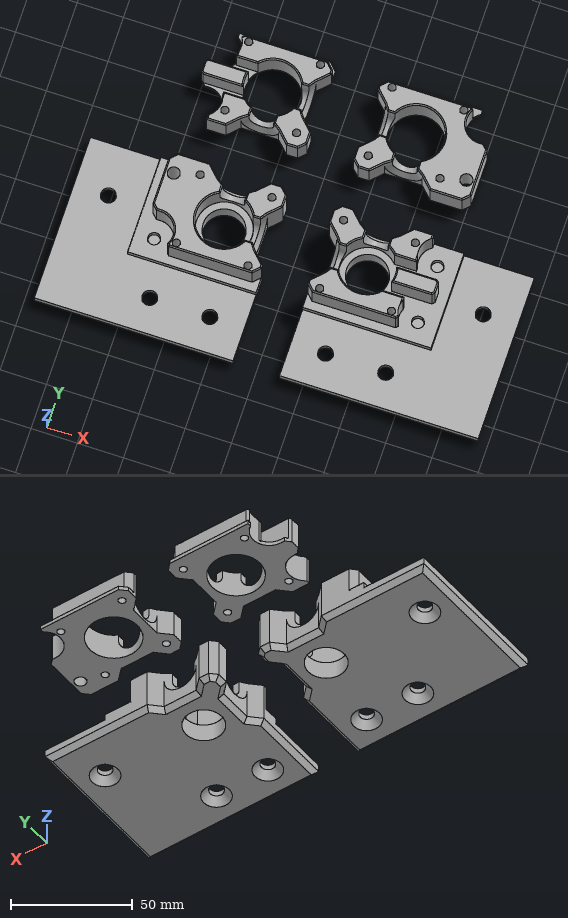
import cadquery as cq

MOTOR_EDGE = 21.0
BACK_EDGE = 21.5
BLOCK_FRONT = 17.8
STEP_FRONT = 21.5
BLOCK_OUTER = 21.6
CORNER_CHAMFER = 3.0
SCREW_PITCH = 31.0
SCREW_HOLE = 3.3
COVER_BORE = 24.0
BASE_BORE = 18.0

NOTCH_DEPTH = 5.0
NOTCH_FLOOR_HALF = 8.1
SLOT_RADIUS = 5.3
FLARE_DEPTH = 2.0

ARM_ROOT = MOTOR_EDGE / 2
ARM_REACH = 30.0
FIXING_U = 26.0
FIXING_W = 12.7
FIXING_HOLE = 5.3
RELIEF_RADIUS = 8.2
ARM_CHAMFER = 2.2
KEY_HALF = 3.4
CHANNEL_HALF = 8.0
KEY_BLOCK_OUTER = 18.5

COVER_HEIGHT = 14.0
FLANGE_HEIGHT = 2.0
COVER_SLOT_Z = 9.7
PLATE_HEIGHT = 6.0
STEP_TOP = 9.0
BASE_HEIGHT = 22.0
BASE_SLOT_Z = 16.6
TOP_CHAMFER = 0.6

PLATE_LENGTH = 86.0
PLATE_WIDTH = 73.0
STEP_LENGTH = 55.6
PLATE_CHAMFER = 2.3
PLATE_HOLE = 6.4
PLATE_HOLE_HEAD = 13.0
PLATE_OUTER_HOLE_U = 50.0
PLATE_FRONT_HOLES_W = 36.5
PLATE_FRONT_HOLES_U = (-6.0, 20.0)

PAIR_GAP = 20.0
ROW_GAP = 20.0

NOTCH_MOUTH_HALF = NOTCH_FLOOR_HALF + NOTCH_DEPTH
ARM_EDGE = FIXING_W - RELIEF_RADIUS
PLATE_HOLES = [(PLATE_OUTER_HOLE_U, 0)] + [(u, PLATE_FRONT_HOLES_W) for u in PLATE_FRONT_HOLES_U]
SCREWS = [(su * SCREW_PITCH / 2, sw * SCREW_PITCH / 2) for su in (-1, 1) for sw in (-1, 1)]


def prism(points, bottom, top):
    return cq.Workplane("XY").workplane(offset=bottom).polyline(points).close().extrude(top - bottom)


def cylinders(centers, diameter, bottom, top):
    plane = cq.Workplane("XY").workplane(offset=bottom)
    return plane.pushPoints(centers).circle(diameter / 2).extrude(top - bottom)


def box(u_min, u_max, w_min, w_max, bottom, top):
    corners = [(u_min, w_min), (u_max, w_min), (u_max, w_max), (u_min, w_max)]
    return prism(corners, bottom, top)


def notched_sides():
    """Inner and back sides, each with a 45 degree notch in the middle."""
    return [
        (-MOTOR_EDGE, NOTCH_MOUTH_HALF),
        (-MOTOR_EDGE + NOTCH_DEPTH, NOTCH_FLOOR_HALF),
        (-MOTOR_EDGE + NOTCH_DEPTH, -NOTCH_FLOOR_HALF),
        (-MOTOR_EDGE, -NOTCH_MOUTH_HALF),
        (-MOTOR_EDGE, -BACK_EDGE + CORNER_CHAMFER),
        (-MOTOR_EDGE + CORNER_CHAMFER, -BACK_EDGE),
        (-NOTCH_MOUTH_HALF, -BACK_EDGE),
        (-NOTCH_FLOOR_HALF, -BACK_EDGE + NOTCH_DEPTH),
        (NOTCH_FLOOR_HALF, -BACK_EDGE + NOTCH_DEPTH),
        (NOTCH_MOUTH_HALF, -BACK_EDGE),
    ]


def motor_outline():
    """Square motor block with chamfered corners and notched inner and back sides."""
    front_chamfer = BLOCK_FRONT - CORNER_CHAMFER
    return notched_sides() + [
        (BLOCK_OUTER, -BACK_EDGE),
        (BLOCK_OUTER, front_chamfer - (BLOCK_OUTER - MOTOR_EDGE)),
        (MOTOR_EDGE - CORNER_CHAMFER, BLOCK_FRONT),
        (-MOTOR_EDGE + CORNER_CHAMFER, BLOCK_FRONT),
        (-MOTOR_EDGE, front_chamfer),
    ]


def arm_outline(is_key):
    """Outer arm: symmetric for a key, running to the back edge for a lobe."""
    upper = [
        (ARM_ROOT, CHANNEL_HALF),
        (FIXING_U, CHANNEL_HALF),
        (FIXING_U, ARM_EDGE),
        (ARM_REACH - ARM_CHAMFER, ARM_EDGE),
        (ARM_REACH, ARM_EDGE - ARM_CHAMFER),
    ]
    if is_key:
        return upper + [(u, -w) for u, w in reversed(upper)]
    return upper + [
        (ARM_REACH, -BACK_EDGE + CORNER_CHAMFER),
        (ARM_REACH - CORNER_CHAMFER, -BACK_EDGE),
        (BLOCK_OUTER, -BACK_EDGE),
        (ARM_ROOT, -CHANNEL_HALF),
    ]


def relief_centers(is_key):
    centers = [(FIXING_U, FIXING_W)]
    if is_key:
        centers.append((FIXING_U, -FIXING_W))
    return centers


def slot_cutter(slot_z, top):
    """Round-bottomed opening along u, open to the top and flared where it meets the notch floor."""
    start = -MOTOR_EDGE + NOTCH_DEPTH
    throat = start + FLARE_DEPTH
    tube = cq.Workplane("YZ", origin=(start, 0, slot_z)).circle(SLOT_RADIUS).extrude(-start)
    flare_base = cq.Vector(start, 0, slot_z)
    flare = cq.Solid.makeCone(NOTCH_FLOOR_HALF, SLOT_RADIUS, FLARE_DEPTH, flare_base, cq.Vector(1, 0, 0))
    one_side = [(start, NOTCH_FLOOR_HALF), (throat, SLOT_RADIUS), (0, SLOT_RADIUS)]
    other_side = [(u, -w) for u, w in reversed(one_side)]
    mouth = prism(one_side + other_side, slot_z, top)
    return tube.union(cq.Workplane(flare)).union(mouth)


def side_openings(slot_z, top):
    inner = slot_cutter(slot_z, top)
    back = inner.rotate((0, 0, 0), (0, 0, 1), 90).translate((0, MOTOR_EDGE - BACK_EDGE, 0))
    return inner.union(back)


def key_channels(floor, top):
    """Spaces on both sides of the key, wider beyond the outer face of the motor block."""
    near = box(0, KEY_BLOCK_OUTER, KEY_HALF, CHANNEL_HALF, floor, top)
    far = box(KEY_BLOCK_OUTER, ARM_REACH, KEY_HALF, FIXING_W, floor, top)
    channel = near.union(far)
    return [channel, channel.mirror("XZ")]


def block(is_key, bottom, floor, top, slot_z):
    """Motor block with its arm; floor is the level the channel beside a key is cut down to."""
    body = prism(motor_outline(), bottom, top).union(prism(arm_outline(is_key), bottom, top))
    reliefs = cylinders(relief_centers(is_key), 2 * RELIEF_RADIUS, bottom, top)
    if is_key:
        for channel in key_channels(floor, top):
            body = body.cut(channel)
    else:
        body = body.cut(reliefs)
    body = body.cut(cylinders([(0, 0)], COVER_BORE, floor, top))
    body = body.cut(side_openings(slot_z, top))
    body = body.faces(">Z").edges().chamfer(TOP_CHAMFER)
    return body.cut(reliefs)


def flange(is_key):
    """Thin lip in front of the block, with a chamfered inner corner."""
    lip = prism([
        (-MOTOR_EDGE, NOTCH_MOUTH_HALF),
        (BLOCK_OUTER, NOTCH_MOUTH_HALF),
        (BLOCK_OUTER, STEP_FRONT),
        (-MOTOR_EDGE + CORNER_CHAMFER, STEP_FRONT),
        (-MOTOR_EDGE, STEP_FRONT - CORNER_CHAMFER)], 0, FLANGE_HEIGHT)
    return lip.cut(cylinders(relief_centers(is_key), 2 * RELIEF_RADIUS, 0, FLANGE_HEIGHT))


def cover(is_key):
    body = block(is_key, 0, FLANGE_HEIGHT, COVER_HEIGHT, COVER_SLOT_Z).union(flange(is_key))
    body = body.cut(cylinders([(0, 0)], COVER_BORE, 0, COVER_HEIGHT))
    body = body.cut(cylinders(SCREWS, SCREW_HOLE, 0, COVER_HEIGHT))
    if not is_key:
        body = body.cut(cylinders([(FIXING_U, -FIXING_W)], FIXING_HOLE, 0, COVER_HEIGHT))
    return body


def plate_outline(length, front):
    end = length - MOTOR_EDGE
    return notched_sides() + [(end, -BACK_EDGE), (end, front), (-MOTOR_EDGE, front)]


def mounting_plate():
    plate = prism(plate_outline(PLATE_LENGTH, PLATE_WIDTH - BACK_EDGE), 0, PLATE_HEIGHT)
    plate = plate.faces("<Z").edges().chamfer(PLATE_CHAMFER)
    plate = plate.union(prism(plate_outline(STEP_LENGTH, STEP_FRONT), PLATE_HEIGHT, STEP_TOP))
    plate = plate.cut(cylinders(PLATE_HOLES, PLATE_HOLE, 0, PLATE_HEIGHT))
    head_depth = (PLATE_HOLE_HEAD - PLATE_HOLE) / 2
    for u, w in PLATE_HOLES:
        head = cq.Solid.makeCone(PLATE_HOLE_HEAD / 2, PLATE_HOLE / 2, head_depth, cq.Vector(u, w, 0))
        plate = plate.cut(cq.Workplane(head))
    return plate


def base(is_key):
    body = mounting_plate().union(block(is_key, STEP_TOP, STEP_TOP, BASE_HEIGHT, BASE_SLOT_Z))
    body = body.cut(side_openings(BASE_SLOT_Z, BASE_HEIGHT))
    body = body.cut(cylinders([(0, 0)], BASE_BORE, 0, BASE_HEIGHT))
    body = body.cut(cylinders(SCREWS, SCREW_HOLE, STEP_TOP, BASE_HEIGHT))
    fixings = [(FIXING_U, FIXING_W), (FIXING_U, -FIXING_W)]
    return body.cut(cylinders(fixings, FIXING_HOLE, PLATE_HEIGHT, BASE_HEIGHT))


AXIS_X = PAIR_GAP / 2 + MOTOR_EDGE
COVER_Y = ROW_GAP + BACK_EDGE
BASE_Y = -BACK_EDGE

left_cover = cover(True).mirror("YZ").translate((-AXIS_X, COVER_Y, 0))
right_cover = cover(False).translate((AXIS_X, COVER_Y, 0))
left_base = base(False).rotate((0, 0, 0), (0, 0, 1), 180).translate((-AXIS_X, BASE_Y, 0))
right_base = base(True).mirror("XZ").translate((AXIS_X, BASE_Y, 0))

result = cq.Compound.makeCompound([left_cover.val(), right_cover.val(), left_base.val(), right_base.val()])